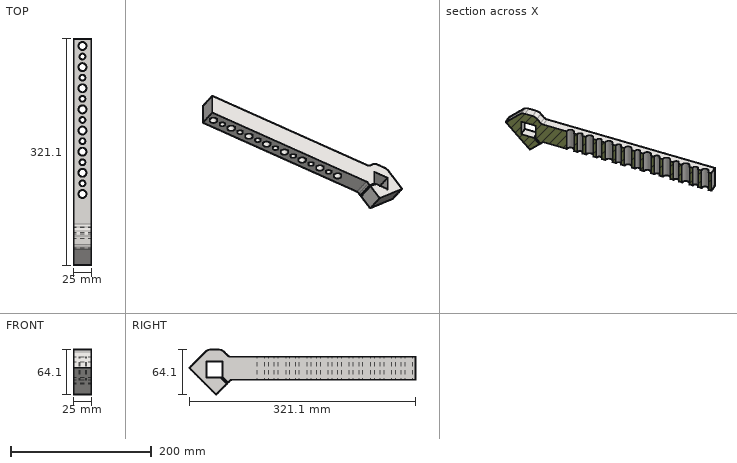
import cadquery as cq
import math

width = 25.0
total_length = 321.06
total_height = 64.06
bar_height = 33.0
head_rise = 10.1

nose_face_run = 38.0
head_flat_start = 30.0
head_flat_end = 42.0
head_radius = 10.0
neck_radius = 5.5
throat_radius = 5.0

window_size = 22.2
window_near_y = 24.6
window_top_drop = 17.2
slit_width = 1.7

large_hole_diameter = 11.0
small_hole_diameter = 8.0
hole_count = 15
hole_pitch = 15.0
end_hole_margin = 10.0

bar_top = bar_height / 2
bar_bottom = -bar_height / 2
head_top = bar_top + head_rise
head_bottom = head_top - total_height
nose_tip_z = head_bottom + nose_face_run

SLOPE_ANGLE = math.radians(45)
SIN_SLOPE = math.sin(SLOPE_ANGLE)
SIN_HALF = math.sin(SLOPE_ANGLE / 2)
COS_HALF = math.cos(SLOPE_ANGLE / 2)
TAN_HALF = SIN_HALF / COS_HALF


def arc_offset(radius):
    """Run and drop of a 45 degree arc that starts tangent to the Y direction."""
    return radius * SIN_SLOPE, radius * (1 - SIN_SLOPE)


def arc_middle(radius):
    """Run and drop at the middle of the same arc."""
    return radius * SIN_HALF, radius * (1 - COS_HALF)


def make_body():
    """Bar and head as one side profile extruded across the width."""
    head_run, head_drop = arc_offset(head_radius)
    head_mid_run, head_mid_drop = arc_middle(head_radius)
    neck_run, neck_drop = arc_offset(neck_radius)
    neck_mid_run, neck_mid_drop = arc_middle(neck_radius)
    throat_run, throat_drop = arc_offset(throat_radius)
    throat_mid_run, throat_mid_drop = arc_middle(throat_radius)

    slope_start_y = head_flat_end + head_run
    slope_end_y = slope_start_y + head_rise - head_drop - neck_drop
    neck_end_y = slope_end_y + neck_run
    jaw_end_y = nose_face_run + bar_bottom - head_bottom
    throat_tangent = throat_radius * TAN_HALF
    throat_end_y = jaw_end_y + throat_tangent

    profile = (
        cq.Workplane("YZ", origin=(-width / 2, 0, 0))
        .moveTo(0, nose_tip_z)
        .lineTo(nose_face_run, head_bottom)
        .lineTo(throat_end_y - throat_run, bar_bottom - throat_drop)
        .threePointArc(
            (throat_end_y - throat_mid_run, bar_bottom - throat_mid_drop),
            (throat_end_y, bar_bottom),
        )
        .lineTo(total_length, bar_bottom)
        .lineTo(total_length, bar_top)
        .lineTo(neck_end_y, bar_top)
        .threePointArc(
            (neck_end_y - neck_mid_run, bar_top + neck_mid_drop),
            (slope_end_y, bar_top + neck_drop),
        )
        .lineTo(slope_start_y, head_top - head_drop)
        .threePointArc(
            (head_flat_end + head_mid_run, head_top - head_mid_drop),
            (head_flat_end, head_top),
        )
        .lineTo(head_flat_start, head_top)
        .threePointArc(
            (head_flat_start - head_mid_run, head_top - head_mid_drop),
            (head_flat_start - head_run, head_top - head_drop),
        )
        .close()
    )
    return profile.extrude(width)


def make_window():
    """Square opening through the head, with the slit leaving its lower far corner."""
    far_y = window_near_y + window_size
    top_z = head_top - window_top_drop
    bottom_z = top_z - window_size
    slit_side = slit_width / SIN_SLOPE
    slit_reach = window_size

    return (
        cq.Workplane("YZ", origin=(-width / 2, 0, 0))
        .moveTo(window_near_y, top_z)
        .lineTo(far_y, top_z)
        .lineTo(far_y, bottom_z)
        .lineTo(far_y + slit_reach, bottom_z - slit_reach)
        .lineTo(far_y + slit_reach - slit_side, bottom_z - slit_reach)
        .lineTo(far_y - slit_side, bottom_z)
        .lineTo(window_near_y, bottom_z)
        .close()
        .extrude(width)
    )


def make_holes(diameter, first_index):
    """Every second hole of the row, as vertical cylinders through the bar."""
    centers = [
        (0, total_length - end_hole_margin - index * hole_pitch)
        for index in range(first_index, hole_count, 2)
    ]
    return (
        cq.Workplane("XY", origin=(0, 0, bar_bottom))
        .pushPoints(centers)
        .circle(diameter / 2)
        .extrude(bar_height)
    )


result = (
    make_body()
    .cut(make_window())
    .cut(make_holes(large_hole_diameter, 0))
    .cut(make_holes(small_hole_diameter, 1))
)